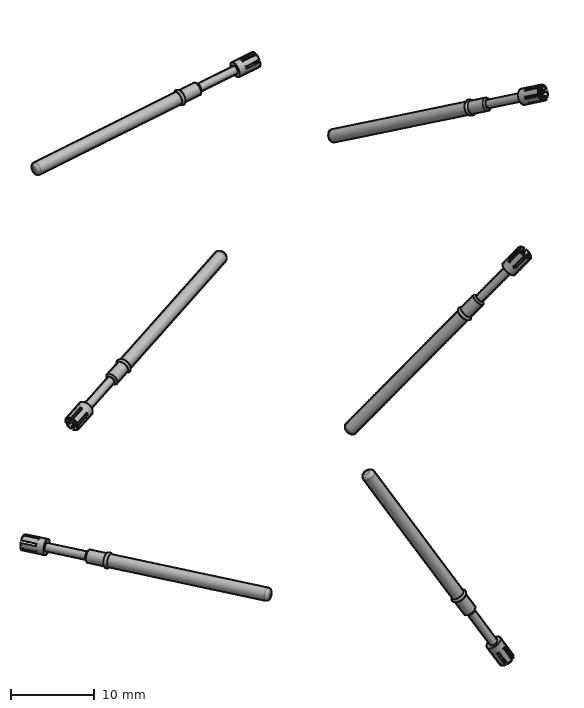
import cadquery as cq

length = 32.3
tail_y = -length / 2
tip_y = length / 2

barrel_radius = 0.825
tail_round = 0.468
shoulder_from_tip = 8.3
shoulder_chamfer = 0.23

ring_radius = 1.0
ring_width = 0.5
ring_from_tip = 11.05

plunger_radius = 0.533
head_radius = 1.0
head_length = 3.0
cup_radius = 0.9
slot_width = 0.3
slot_depth = 2.0
slot_count = 3


def rod(radius, y_start, y_end):
    """Solid cylinder on the Y axis between two positions."""
    base = cq.Workplane("XZ", origin=(0, y_start, 0))
    return base.circle(radius).extrude(y_start - y_end)


def make_barrel():
    barrel = rod(barrel_radius, tail_y, tip_y - shoulder_from_tip)
    return barrel.faces(">Y").chamfer(shoulder_chamfer).faces("<Y").edges().fillet(tail_round)


def make_stop_ring():
    centre_y = tip_y - ring_from_tip
    back_y = centre_y - ring_width / 2
    front_y = centre_y + ring_width / 2
    profile = (
        cq.Workplane("XY")
        .moveTo(0, back_y)
        .lineTo(barrel_radius, back_y)
        .threePointArc((ring_radius, centre_y), (barrel_radius, front_y))
        .lineTo(0, front_y)
        .close()
    )
    return profile.revolve(360, (0, 0, 0), (0, 1, 0))


def make_plunger():
    shaft = rod(plunger_radius, tip_y - shoulder_from_tip - shoulder_chamfer, tip_y - head_length)
    return shaft.union(rod(head_radius, tip_y - head_length, tip_y))


def make_cup():
    """Conical cup as deep as its mouth radius, for 45 degree walls."""
    profile = (
        cq.Workplane("XY")
        .moveTo(0, tip_y)
        .lineTo(cup_radius, tip_y)
        .lineTo(0, tip_y - cup_radius)
        .close()
    )
    return profile.revolve(360, (0, 0, 0), (0, 1, 0))


def make_slot(angle):
    """Slot across the head, cut from the tip and turned about the Y axis."""
    blade = cq.Workplane("XY").box(slot_width, slot_depth, 2 * head_radius)
    blade = blade.translate((0, tip_y - slot_depth / 2, 0))
    return blade.rotate((0, 0, 0), (0, 1, 0), angle)


result = make_barrel().union(make_stop_ring()).union(make_plunger()).cut(make_cup())
for index in range(slot_count):
    result = result.cut(make_slot(index * 180 / slot_count))